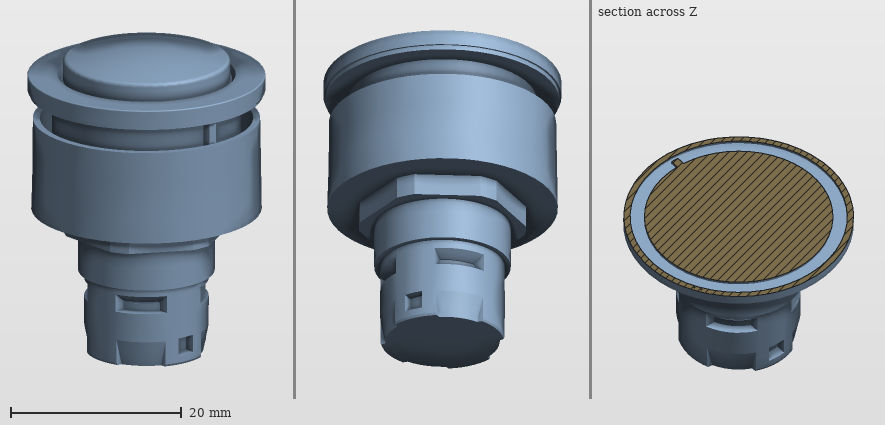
import cadquery as cq
import math


base_chamfer_top = 0.25
base_top = 9.7
collar_top = 14.75
nut_top = 17.33
sleeve_top = 28.4
flange_bottom = 31.4
flange_step = 31.95
flange_top = 33.8
total_height = 36.95

base_dia = 14.6
collar_dia = 16.0
nut_corner_dia = 19.6
sleeve_bottom_dia = 27.0
sleeve_top_dia = 26.65
body_dia = 22.15
flange_underside_dia = 27.4
flange_dia = 27.9
button_dia = 19.6
core_dia = 12.1

nut_across_flats = 18.0
nut_turn = 1.5

sleeve_wall = 0.8
key_top = 31.3
key_reach = 12.15
key_width = 1.0

flange_edge_radius = 0.15
groove_top_dia = 20.9
groove_floor_dia = 20.1
groove_depth = 0.63

dome_rise = 1.25
button_edge_radius = 0.48

base_chamfer_width = 0.1

window_bottom = 6.58
window_top = 8.7
window_half_width = 3.03
window_wall_angle = 45.0
window_roof_bottom = 7.72
window_ledge_top = 7.5
window_ledge_dia = 12.35

notch_top = 3.1
notch_bottom_dia = 13.38
notch_half_width = 2.9
notch_wall_angle = 52.0

pocket_bottom = 1.1
pocket_width = 2.25
pocket_height = 2.15

DIAGONALS = (45, 135, 225, 315)


def cylinder(diameter, bottom, top):
    return cq.Workplane("XY").workplane(offset=bottom).circle(diameter / 2).extrude(top - bottom)


def cone(bottom_dia, top_dia, bottom, top):
    return cq.Workplane(
        cq.Solid.makeCone(bottom_dia / 2, top_dia / 2, top - bottom, cq.Vector(0, 0, bottom))
    )


def diagonal_wedges(half_width, wall_angle, bottom, top):
    """Four wedges opening outward on the diagonals, half_width wide at the base surface."""
    surface_x = math.sqrt((base_dia / 2) ** 2 - half_width**2)
    slope = math.tan(math.radians(wall_angle))
    apex_x = surface_x - half_width / slope
    far_x = base_dia
    far_y = (far_x - apex_x) * slope
    wedge = (
        cq.Workplane("XY")
        .workplane(offset=bottom)
        .polyline([(apex_x, 0), (far_x, -far_y), (far_x, far_y)])
        .close()
        .extrude(top - bottom)
    )
    wedges = cq.Workplane("XY")
    for angle in DIAGONALS:
        wedges = wedges.add(wedge.rotate((0, 0, 0), (0, 0, 1), angle))
    return wedges


def cut_within_wedges(part, ring, wedges):
    """Cut away the portions of a ring that lie inside the wedges."""
    for wedge in wedges.vals():
        part = part.cut(ring.intersect(cq.Workplane(wedge)))
    return part


def make_nut():
    """Hexagon with its corners rounded off by a cylinder."""
    hexagon = (
        cq.Workplane("XY")
        .workplane(offset=collar_top)
        .polygon(6, nut_across_flats, circumscribed=True)
        .extrude(nut_top - collar_top)
        .rotate((0, 0, 0), (0, 0, 1), 30 + nut_turn)
    )
    return hexagon.intersect(cylinder(nut_corner_dia, collar_top, nut_top))


def make_sleeve():
    """Slightly conical cup of even thickness, open at the top around the body."""
    floor = nut_top + sleeve_wall
    recess = cone(sleeve_bottom_dia - 2 * sleeve_wall, sleeve_top_dia - 2 * sleeve_wall, floor, sleeve_top)
    return cone(sleeve_bottom_dia, sleeve_top_dia, nut_top, sleeve_top).cut(recess)


def make_key():
    """Locating key on the +X side of the body, rising from the sleeve floor."""
    bottom = nut_top + sleeve_wall
    return (
        cq.Workplane("XY")
        .box(key_reach, key_width, key_top - bottom, centered=(False, True, False))
        .translate((0, 0, bottom))
    )


def make_flange():
    rim = cylinder(flange_dia, flange_step, flange_top).faces(">Z").edges().fillet(flange_edge_radius)
    groove = cone(groove_floor_dia, groove_top_dia, flange_top - groove_depth, flange_top)
    return cylinder(flange_underside_dia, flange_bottom, flange_step).union(rim).cut(groove)


def make_button():
    """Short cylinder with a spherical crown and a rounded edge."""
    radius = button_dia / 2
    bottom = flange_top - groove_depth
    edge_height = total_height - dome_rise
    crown_radius = (radius**2 + dome_rise**2) / (2 * dome_rise)
    half_chord = radius / 2
    half_drop = crown_radius - math.sqrt(crown_radius**2 - half_chord**2)
    profile = (
        cq.Workplane("XZ")
        .moveTo(0, bottom)
        .lineTo(radius, bottom)
        .lineTo(radius, edge_height)
        .threePointArc((half_chord, total_height - half_drop), (0, total_height))
        .close()
    )
    button = profile.revolve(360, (0, 0, 0), (0, 1, 0))
    return button.faces("%CYLINDER").edges(">Z").fillet(button_edge_radius)


def cut_windows(part):
    """Recesses with a conical roof, a core behind and a low ledge in front of the core."""
    roof = cone(window_ledge_dia, base_dia, window_roof_bottom, window_top)
    core = cylinder(core_dia, window_bottom, window_top)
    ledge = cylinder(window_ledge_dia, window_bottom, window_ledge_top)
    ring = cylinder(base_dia, window_bottom, window_top).cut(roof).cut(core).cut(ledge)
    wedges = diagonal_wedges(window_half_width, window_wall_angle, window_bottom, window_top)
    return cut_within_wedges(part, ring, wedges)


def cut_notches(part):
    """Notches whose conical floors run inward toward the underside."""
    ring = cylinder(base_dia, 0, notch_top).cut(cone(notch_bottom_dia, base_dia, 0, notch_top))
    wedges = diagonal_wedges(notch_half_width, notch_wall_angle, 0, notch_top)
    return cut_within_wedges(part, ring, wedges)


def cut_square_pockets(part):
    """Two opposite pockets that reach in to the core."""
    bar = (
        cq.Workplane("XY")
        .box(base_dia, pocket_width, pocket_height, centered=(True, True, False))
        .translate((0, 0, pocket_bottom))
    )
    return part.cut(bar.cut(cylinder(core_dia, 0, base_top)))


def make_base():
    base = cylinder(base_dia, 0, base_top)
    base = base.faces("<Z").edges().chamfer(base_chamfer_top, base_chamfer_width)
    base = cut_windows(base)
    base = cut_notches(base)
    return cut_square_pockets(base)


result = (
    make_base()
    .union(cylinder(collar_dia, base_top, collar_top))
    .union(make_nut())
    .union(make_sleeve())
    .union(cylinder(body_dia, nut_top, flange_bottom))
    .union(make_key())
    .union(make_flange())
    .union(make_button())
)